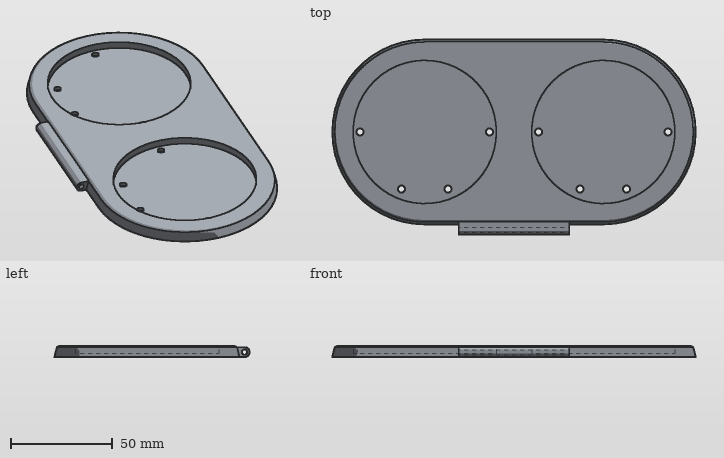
import cadquery as cq

length = 178.3
width = 90.8
overall_depth = 95.8
thickness = 5.5
rim_inset = 2.7
wall_inset = 1.2
wall_height = 4.8
wall_mid_inset = 0.5
rounding_bulge = 0.2
end_radius = width / 2
end_spacing = length - width

pocket_diameter = 70.3
pocket_depth = 3.5

screw_hole_diameter = 3.4
side_hole_offset = 31.7
lower_hole_offset = 11.5
lower_hole_drop = 28.0

hinge_length = 54.4
hinge_diameter = 5.0
hinge_bore = 2.5
hinge_radius = hinge_diameter / 2
hinge_axis_y = end_radius - overall_depth + hinge_radius
hinge_root_y = -end_radius + rim_inset


def rim_profile(plane, origin):
    """Half section of the plate, from its centre line out to the sloped rim."""
    wall_middle = (end_radius - wall_mid_inset, wall_height / 2)
    wall_top = (end_radius - wall_inset, wall_height)
    top_edge = (end_radius - rim_inset, thickness)
    return (
        cq.Workplane(plane, origin=origin)
        .lineTo(end_radius, 0)
        .threePointArc(wall_middle, wall_top)
        .sagittaArc(top_edge, -rounding_bulge)
        .lineTo(0, thickness)
        .close()
    )


def make_plate():
    half = rim_profile("YZ", (-end_spacing / 2, 0, 0)).extrude(end_spacing)
    plate = half.union(half.mirror("XZ"))
    for x in (-end_spacing / 2, end_spacing / 2):
        end = rim_profile("XZ", (x, 0, 0)).revolve(360, (0, 0, 0), (0, 1, 0))
        plate = plate.union(end)
    return plate


def make_hinge():
    return (
        cq.Workplane("YZ", origin=(-hinge_length / 2, 0, 0))
        .moveTo(hinge_root_y, 0)
        .lineTo(hinge_axis_y, 0)
        .threePointArc((hinge_axis_y - hinge_radius, hinge_radius), (hinge_axis_y, hinge_diameter))
        .lineTo(hinge_root_y, hinge_diameter)
        .close()
        .extrude(hinge_length)
    )


def make_hinge_bore():
    return (
        cq.Workplane("YZ", origin=(-hinge_length / 2, hinge_axis_y, hinge_radius))
        .circle(hinge_bore / 2)
        .extrude(hinge_length)
    )


def make_pocket(x):
    """Pocket with its two side holes and two lower holes."""
    side_points = [(-side_hole_offset, 0), (side_hole_offset, 0)]
    lower_points = [(-lower_hole_offset, -lower_hole_drop), (lower_hole_offset, -lower_hole_drop)]
    base = cq.Workplane("XY", origin=(x, 0, 0))
    recess = base.workplane(offset=thickness - pocket_depth).circle(pocket_diameter / 2).extrude(pocket_depth)
    side_holes = base.pushPoints(side_points).circle(screw_hole_diameter / 2).extrude(thickness)
    lower_holes = base.pushPoints(lower_points).circle(screw_hole_diameter / 2).extrude(thickness)
    return recess.union(side_holes).union(lower_holes)


result = make_plate().union(make_hinge()).cut(make_hinge_bore())
for pocket_x in (-end_spacing / 2, end_spacing / 2):
    result = result.cut(make_pocket(pocket_x))